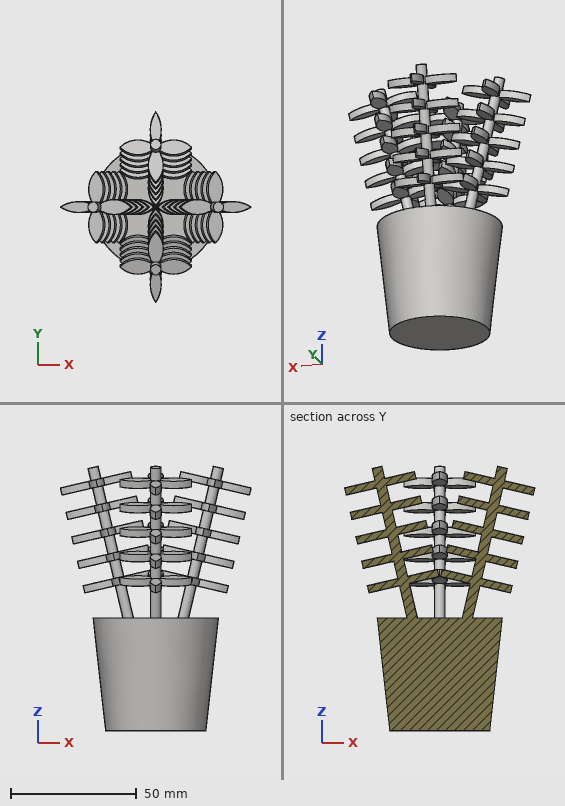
import cadquery as cq

POT_BASE_RADIUS = 20.0
POT_TOP_RADIUS = 25.0
POT_HEIGHT = 45.0

STEM_COUNT = 4
STEM_RADIUS = 2.1
STEM_ROOT_OFFSET = 11.0
STEM_LEAN = 13.12
STEM_LENGTH = 61.59
STEM_EMBED = 5.0

WHORL_COUNT = 5
WHORL_SPACING = 10.0
FIRST_WHORL = 15.1
LEAF_THICKNESS = 3.0
LEAF_LENGTH = 14.25
LEAF_WIDTH = 6.0
OUTER_LEAF_LENGTH = 14.57
OUTER_LEAF_WIDTH = 4.4
OUTER_LEAF_HEADING = 0
LEAF_HEADINGS = (90, 180, 270)


def make_pot():
    return (
        cq.Workplane("XY")
        .circle(POT_BASE_RADIUS)
        .workplane(offset=POT_HEIGHT)
        .circle(POT_TOP_RADIUS)
        .loft()
    )


def make_leaf(length, width, heading):
    """Leaf with one point on the stem axis, turned to a heading in degrees about that axis."""
    half_length = length / 2
    half_width = width / 2
    return (
        cq.Workplane("XY")
        .moveTo(0, 0)
        .threePointArc((half_length, half_width), (length, 0))
        .threePointArc((half_length, -half_width), (0, 0))
        .close()
        .extrude(LEAF_THICKNESS / 2, both=True)
        .rotate((0, 0, 0), (0, 0, 1), heading)
    )


def make_whorl():
    whorl = make_leaf(OUTER_LEAF_LENGTH, OUTER_LEAF_WIDTH, OUTER_LEAF_HEADING)
    for heading in LEAF_HEADINGS:
        whorl = whorl.add(make_leaf(LEAF_LENGTH, LEAF_WIDTH, heading))
    return whorl


def make_branch():
    """Upright stem with its whorls, leaned toward +X and moved to its place on the pot."""
    branch = cq.Workplane("XY").workplane(offset=-STEM_EMBED).circle(STEM_RADIUS)
    branch = branch.extrude(STEM_EMBED + STEM_LENGTH)
    whorl = make_whorl()
    for index in range(WHORL_COUNT):
        height = FIRST_WHORL + index * WHORL_SPACING
        for leaf in whorl.translate((0, 0, height)).vals():
            branch = branch.union(cq.Workplane(leaf))
    leaned = branch.rotate((0, 0, 0), (0, 1, 0), STEM_LEAN)
    return leaned.translate((STEM_ROOT_OFFSET, 0, POT_HEIGHT))


def make_plant():
    plant = make_pot()
    branch = make_branch()
    for index in range(STEM_COUNT):
        turn = index * 360 / STEM_COUNT
        plant = plant.union(branch.rotate((0, 0, 0), (0, 0, 1), turn))
    return plant


result = make_plant()